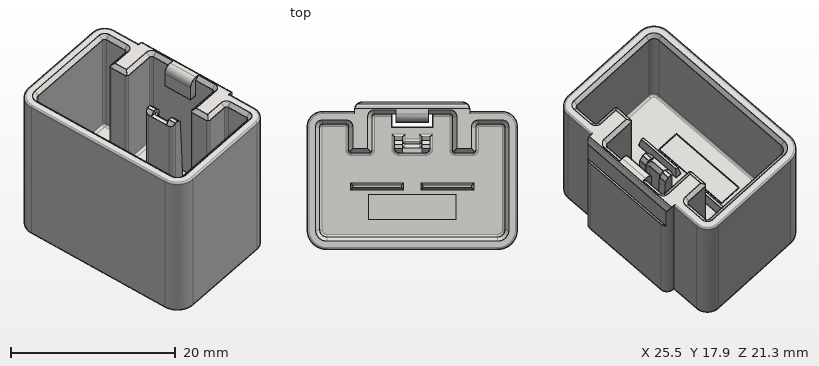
import cadquery as cq


WIDTH = 25.5
HEIGHT = 21.3
BODY_DEPTH = 16.73
FRONT_CORNER_RADIUS = 2.4
REAR_CORNER_RADIUS = 1.85
RIM_ROUNDING = 0.23

TOTAL_DEPTH = 17.9
PAD_WIDTH = 14.02
PAD_CORNER_RADIUS = 1.02
PAD_STEP = 0.23
PAD_STEP_Z = 16.78
PAD_BEVEL = 0.4
PAD_BEVEL_HEIGHT = 0.59
PAD_RIM_BEVEL = 0.18

MOUTH_CHAMFER = 0.5
WALL = 1.53
FLOOR_Z = 6.38
FLOOR_FILLET = 0.3
CAVITY_FRONT_RADIUS = FRONT_CORNER_RADIUS - WALL
CAVITY_REAR_RADIUS = REAR_CORNER_RADIUS - WALL
BAY_REAR_Y = 16.42

RIB_INNER_X = 4.9
RIB_OUTER_X = 7.7
RIB_FRONT_Y = 11.73
RIB_CORNER_RADIUS = 0.3

WINDOW_WIDTH = 4.95
WINDOW_FRONT_Y = 14.85

HOOK_WIDTH = 3.98
HOOK_FRONT_Y = 15.43
HOOK_RADIUS = 1.02
HOOK_HEIGHT = 3.05

POST_WIDTH = 4.34
POST_TOP_Z = 16.83
POST_CHAMFER = 0.5
POST_TOP_DEPTH = 1.5
POST_DRAFT = 0.45
POST_CORNER_RADIUS = 0.55
FORK_GAP = 2.32
WEB_TOP_DEPTH = 0.55
WEB_CHAMFER = 0.5
WEB_DRAFT = 0.3

BLADE_LENGTH = 6.4
BLADE_THICKNESS = 0.82
BLADE_INSET = 0.25
BLADE_HEIGHT = 1.53
BLADE_CENTER_X = 4.25
BLADE_CENTER_Y = 7.65
LABEL_WIDTH = 10.6
LABEL_FRONT_Y = 3.67
LABEL_REAR_Y = 6.68
LABEL_DEPTH = 0.2

PICK_MARGIN = 0.03


def box(width, y_front, y_rear, z_bottom, z_top):
    """Box centred on X = 0 between the given Y and Z limits."""
    size = (width, y_rear - y_front, z_top - z_bottom)
    return cq.Workplane("XY").box(*size, centered=(True, False, False)).translate((0, y_front, z_bottom))


def side_profile(points, width):
    """Extrude a Y-Z outline along X, centred on X = 0."""
    return cq.Workplane("YZ").polyline(points).close().extrude(width / 2, both=True)


def make_block():
    block = box(WIDTH, 0, BODY_DEPTH, 0, HEIGHT)
    block = block.edges("|Z and <Y").fillet(FRONT_CORNER_RADIUS)
    block = block.edges("|Z and >Y").fillet(REAR_CORNER_RADIUS)
    return block.faces(">Z").edges().fillet(RIM_ROUNDING)


def make_pad():
    step_y = TOTAL_DEPTH - PAD_STEP
    rim_y = step_y - PAD_BEVEL - PAD_RIM_BEVEL
    profile = side_profile(
        [
            (RIB_FRONT_Y, 0),
            (TOTAL_DEPTH, 0),
            (TOTAL_DEPTH, PAD_STEP_Z),
            (step_y, PAD_STEP_Z),
            (step_y, HEIGHT - PAD_RIM_BEVEL - PAD_BEVEL_HEIGHT),
            (step_y - PAD_BEVEL, HEIGHT - PAD_RIM_BEVEL),
            (rim_y, HEIGHT),
            (RIB_FRONT_Y, HEIGHT),
        ],
        PAD_WIDTH,
    )
    outline = box(PAD_WIDTH, RIB_FRONT_Y, TOTAL_DEPTH, 0, HEIGHT)
    return profile.intersect(outline.edges("|Z and >Y").fillet(PAD_CORNER_RADIUS))


def make_cavity():
    half_width = WIDTH / 2 - WALL
    rear_y = BODY_DEPTH - WALL
    cavity = box(2 * half_width, WALL, rear_y, FLOOR_Z, HEIGHT)
    cavity = cavity.union(box(2 * RIB_INNER_X, WALL, BAY_REAR_Y, FLOOR_Z, HEIGHT))
    for side in (-1, 1):
        rib = box(RIB_OUTER_X - RIB_INNER_X, RIB_FRONT_Y, BAY_REAR_Y, FLOOR_Z, HEIGHT)
        cavity = cavity.cut(rib.translate((side * (RIB_OUTER_X + RIB_INNER_X) / 2, 0, 0)))
    front_corners = cq.selectors.BoxSelector((-WIDTH, 0, 0), (WIDTH, 2 * WALL, HEIGHT))
    rib_corners = cq.selectors.BoxSelector(
        (-WIDTH, RIB_FRONT_Y - PICK_MARGIN, 0), (WIDTH, RIB_FRONT_Y + PICK_MARGIN, HEIGHT)
    )
    rear_corners = cq.selectors.BoxSelector((-WIDTH, rear_y - PICK_MARGIN, 0), (WIDTH, TOTAL_DEPTH, HEIGHT))
    cavity = cavity.edges("|Z").edges(front_corners).fillet(CAVITY_FRONT_RADIUS)
    cavity = cavity.edges("|Z").edges(rear_corners).fillet(CAVITY_REAR_RADIUS)
    mouth_outline = cavity.faces(">Z").wires().vals()[0].translate(cq.Vector(0, 0, -MOUTH_CHAMFER))
    mouth = cq.Workplane("XY", origin=(0, 0, HEIGHT - MOUTH_CHAMFER)).add(mouth_outline)
    mouth = mouth.toPending().extrude(MOUTH_CHAMFER, taper=-45)
    cavity = cavity.edges("|Z").edges(rib_corners).fillet(RIB_CORNER_RADIUS)
    cavity = cavity.faces("<Z").edges().fillet(FLOOR_FILLET)
    return cavity.union(mouth)


def make_hook():
    tip_z = HEIGHT - HOOK_RADIUS
    arc_center_y = HOOK_FRONT_Y + HOOK_RADIUS
    root_y = BAY_REAR_Y + MOUTH_CHAMFER
    diagonal = HOOK_RADIUS * 0.5**0.5
    return (
        cq.Workplane("YZ")
        .moveTo(HOOK_FRONT_Y, HEIGHT - HOOK_HEIGHT)
        .lineTo(HOOK_FRONT_Y, tip_z)
        .threePointArc((arc_center_y - diagonal, tip_z + diagonal), (arc_center_y, HEIGHT))
        .lineTo(root_y, HEIGHT)
        .lineTo(root_y, HEIGHT - HOOK_HEIGHT)
        .close()
        .extrude(HOOK_WIDTH / 2, both=True)
    )


def make_post():
    shoulder_z = POST_TOP_Z - POST_CHAMFER
    rear_y = RIB_FRONT_Y + POST_TOP_DEPTH
    post = side_profile(
        [
            (RIB_FRONT_Y, FLOOR_Z),
            (RIB_FRONT_Y, shoulder_z),
            (RIB_FRONT_Y + POST_CHAMFER, POST_TOP_Z),
            (rear_y - POST_CHAMFER, POST_TOP_Z),
            (rear_y, shoulder_z),
            (rear_y + POST_DRAFT, FLOOR_Z),
        ],
        POST_WIDTH,
    )
    outline = box(POST_WIDTH, RIB_FRONT_Y, WINDOW_FRONT_Y, FLOOR_Z, POST_TOP_Z)
    post = post.intersect(outline.edges("|Z and <Y").fillet(POST_CORNER_RADIUS))
    web_rear_y = RIB_FRONT_Y + WEB_TOP_DEPTH
    fork = side_profile(
        [
            (RIB_FRONT_Y, shoulder_z),
            (web_rear_y, shoulder_z),
            (web_rear_y + WEB_CHAMFER, shoulder_z - WEB_CHAMFER),
            (web_rear_y + WEB_CHAMFER + WEB_DRAFT, FLOOR_Z),
            (WINDOW_FRONT_Y, FLOOR_Z),
            (WINDOW_FRONT_Y, POST_TOP_Z),
            (RIB_FRONT_Y, POST_TOP_Z),
        ],
        FORK_GAP,
    )
    web_rear = cq.selectors.BoxSelector(
        (-FORK_GAP, web_rear_y + PICK_MARGIN, FLOOR_Z + PICK_MARGIN),
        (FORK_GAP, WINDOW_FRONT_Y - PICK_MARGIN, shoulder_z - PICK_MARGIN),
    )
    fork = fork.edges("not |X").edges(web_rear).fillet(FLOOR_FILLET)
    return post.cut(fork)


def make_blade(center_x):
    return (
        cq.Workplane("XY", origin=(center_x, BLADE_CENTER_Y, FLOOR_Z))
        .rect(BLADE_LENGTH, BLADE_THICKNESS)
        .workplane(offset=BLADE_HEIGHT)
        .rect(BLADE_LENGTH - 2 * BLADE_INSET, BLADE_THICKNESS - 2 * BLADE_INSET)
        .loft(ruled=True)
    )


result = make_block().union(make_pad()).cut(make_cavity())
result = result.cut(box(WINDOW_WIDTH, WINDOW_FRONT_Y, BAY_REAR_Y, 0, HEIGHT - MOUTH_CHAMFER))
result = result.union(make_hook())

result = result.union(make_post())
post_foot = cq.selectors.BoxSelector(
    (-POST_WIDTH, RIB_FRONT_Y - PICK_MARGIN, FLOOR_Z - PICK_MARGIN),
    (POST_WIDTH, WINDOW_FRONT_Y - PICK_MARGIN, FLOOR_Z + PICK_MARGIN),
)
result = result.edges(post_foot).fillet(FLOOR_FILLET)

for blade_x in (-BLADE_CENTER_X, BLADE_CENTER_X):
    result = result.union(make_blade(blade_x))

result = result.cut(box(LABEL_WIDTH, LABEL_FRONT_Y, LABEL_REAR_Y, FLOOR_Z - LABEL_DEPTH, FLOOR_Z))